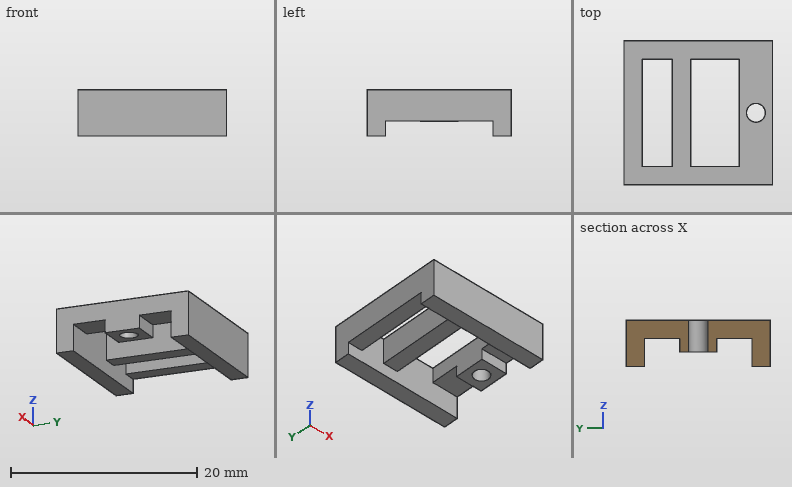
import cadquery as cq

length = 16.0
width = 15.5
height = 5.0

wall = 2.0
channel_height = 1.6
channel_width = width - 2 * wall
narrow_window_length = 3.2
wide_window_length = 5.2
crossbar = 2.0
wide_window_start = wall + narrow_window_length + crossbar
wide_window_end = wide_window_start + wide_window_length

end_plate_thickness = 2.0
end_plate_length = length - wide_window_end
lug_width = 4.0
lug_drop = 1.45
hole_diameter = 2.0
hole_x = wide_window_end + end_plate_length / 2


def block(start_x, base_z, size_x, size_y, size_z):
    """Box centred on Y, starting at the given X and Z."""
    return (
        cq.Workplane("XY")
        .box(size_x, size_y, size_z, centered=(False, True, False))
        .translate((start_x, 0, base_z))
    )


body = block(0, 0, length, width, height)

body = body.cut(block(0, 0, length, channel_width, channel_height))

for start_x, window_length in (
    (wall, narrow_window_length),
    (wide_window_start, wide_window_length),
):
    body = body.cut(block(start_x, 0, window_length, channel_width, height))

end_plate_base = height - end_plate_thickness
body = body.cut(block(wide_window_end, 0, end_plate_length, channel_width, end_plate_base))

lug = block(wide_window_end, end_plate_base - lug_drop, end_plate_length, lug_width, lug_drop)
body = body.union(lug)

hole = cq.Workplane("XY").center(hole_x, 0).circle(hole_diameter / 2).extrude(height)
result = body.cut(hole)